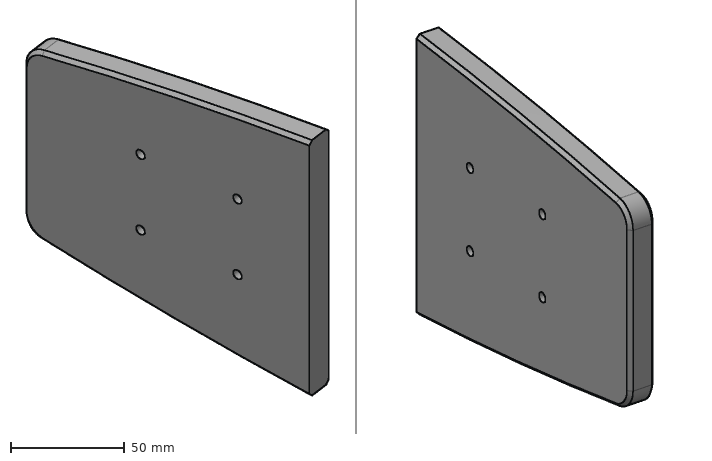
import cadquery as cq

length = 159.4
thickness = 14.0
wide_height = 140.1
narrow_height = 100.5

long_edge_sag = 1.8
corner_radius = 12.0
chamfer = 1.9

hole_diameter = 4.8
hole_spacing_x = 54.0
hole_spacing_z = 41.5
hole_center_x = 92.3


def plate():
    """Tapered plate with bowed long edges, symmetric about Z = 0."""
    wide = wide_height / 2
    narrow = narrow_height / 2
    return (
        cq.Workplane("XZ")
        .moveTo(0, -narrow)
        .lineTo(0, narrow)
        .sagittaArc((length, wide), long_edge_sag)
        .lineTo(length, -wide)
        .sagittaArc((0, -narrow), long_edge_sag)
        .close()
        .extrude(thickness / 2, both=True)
    )


def round_and_chamfer(body):
    """Round the narrow end, then chamfer both face rims except at the wide end."""
    rounded = body.edges("|Y and <X").fillet(corner_radius)
    face_rims = rounded.faces("<Y or >Y").edges("not(>X)")
    return face_rims.chamfer(chamfer)


def drill_holes(body):
    """Rectangular pattern of plain holes through the thickness."""
    holes = (
        cq.Workplane("XZ")
        .center(hole_center_x, 0)
        .rect(hole_spacing_x, hole_spacing_z, forConstruction=True)
        .vertices()
        .circle(hole_diameter / 2)
        .extrude(thickness, both=True)
    )
    return body.cut(holes)


result = drill_holes(round_and_chamfer(plate()))